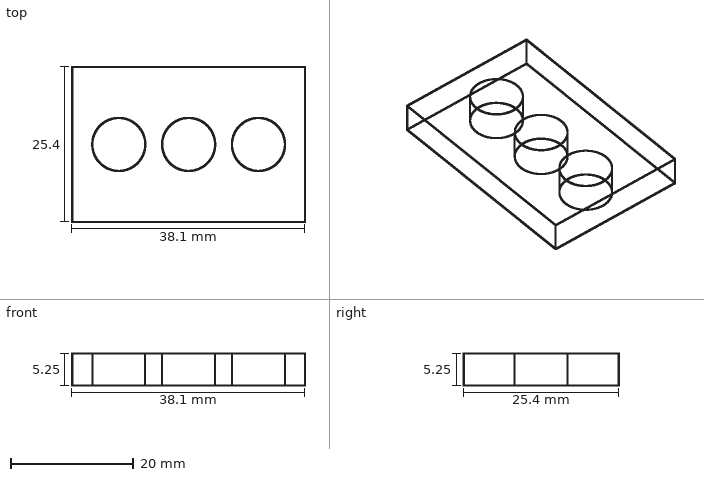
import cadquery as cq

length = 38.1
width = 25.4
thickness = 5.25

hole_diameter = 8.65
hole_pitch = 11.43
hole_count = 3

plate = cq.Workplane("XY").box(length, width, thickness)

result = (
    plate.faces(">Z")
    .workplane()
    .rarray(hole_pitch, 0.4, hole_count, 1)
    .hole(hole_diameter)
)